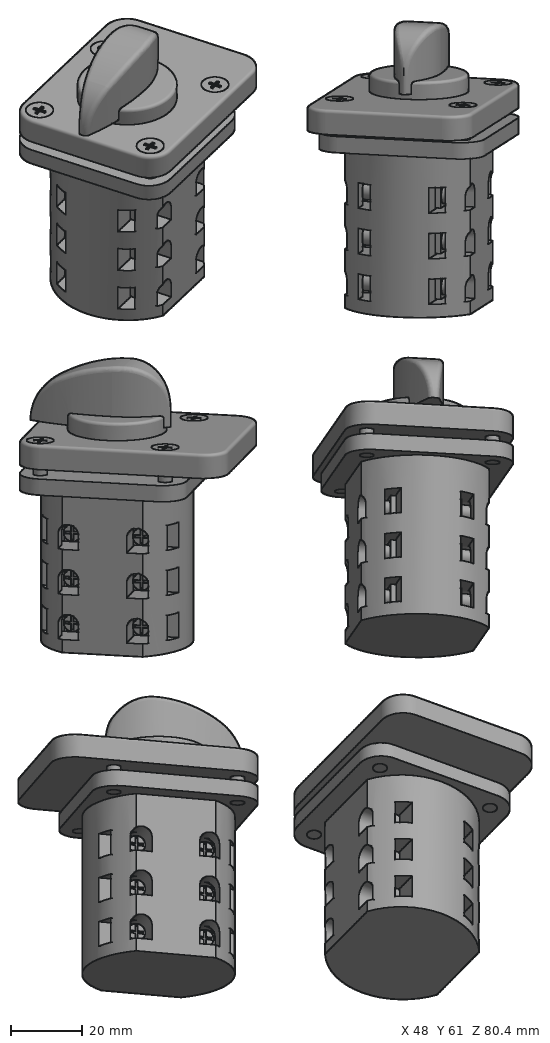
import math

import cadquery as cq

flange_width = 48.0
flange_corner = 7.0
flange_thickness = 4.7
panel_length = 60.0
panel_thickness = 7.0
panel_gap = 2.7
edge_round = 1.0

block_height = 46.6
block_half_width = 18.35
block_half_depth = 21.5
flat_half_length = 11.6

bushing_bottom_radius = 4.0
bushing_top_radius = 3.2

row_count = 3
row_pitch = 13.0
lowest_floor = 3.8
terminal_y = 10.0
window_width = 6.0
window_height = 7.2
slot_inner_x = 8.5
slot_outer_x = 12.7
clamp_thickness = 1.6
clamp_height = 6.5
clamp_screw_radius = 2.5
clamp_screw_length = 2.9
clamp_cross_length = 3.95

screw_offset = 18.0
screw_head_radius = 3.9
screw_shank_radius = 2.0
screw_cross_length = 3.7

cross_width = 0.7
cross_depth = 0.7

total_height = 80.4
disc_radius = 14.0
disc_height = 5.1
grip_lift = 1.5
grip_half_width = 6.3
grip_nose_y = -25.0
grip_nose_half_width = 1.2
grip_tail_y = 15.45
grip_tail_half_width = 0.6
grip_crown_y = 3.05
grip_shoulder_y = -17.0
grip_shoulder_drop = 5.0
grip_round = 1.45

flange_top = block_height + flange_thickness
panel_bottom = flange_top + panel_gap
panel_top = panel_bottom + panel_thickness
grip_bottom = panel_top + grip_lift
panel_center_y = (panel_length - flange_width) / 2
row_floors = [lowest_floor + row * row_pitch for row in range(row_count)]
corner_signs = [(sx, sy) for sx in (-1, 1) for sy in (-1, 1)]
screw_spots = [(sx * screw_offset, sy * screw_offset) for sx, sy in corner_signs]


def box_between(x0, x1, y0, y1, z0, z1):
    """Box spanning the given limits along X, Y and Z."""
    return cq.Workplane("XY").box(x1 - x0, y1 - y0, z1 - z0, centered=False).translate((x0, y0, z0))


def rounded_plate(length, center_y, bottom, thickness):
    """Flange-wide plate with rounded vertical corners."""
    plate = cq.Workplane("XY", origin=(0, center_y, bottom)).rect(flange_width, length).extrude(thickness)
    return plate.edges("|Z").fillet(flange_corner)


def cross_recess(workplane, arm_length):
    """Cutter for a cross recess, sunk below the workplane."""
    first_arm = workplane.rect(arm_length, cross_width).extrude(-cross_depth)
    second_arm = workplane.rect(cross_width, arm_length).extrude(-cross_depth)
    return first_arm.union(second_arm)


def terminal_cavity(floor):
    """Arched side window and front wire slot of the terminal at +X, -Y."""
    half_width = window_width / 2
    spring_line = floor + window_height - half_width
    window = (
        cq.Workplane("YZ", origin=(slot_inner_x, -terminal_y, 0))
        .moveTo(-half_width, floor)
        .lineTo(half_width, floor)
        .lineTo(half_width, spring_line)
        .threePointArc((0, floor + window_height), (-half_width, spring_line))
        .close()
        .extrude(block_half_width - slot_inner_x)
    )
    slot = box_between(
        slot_inner_x, slot_outer_x, -block_half_depth, -terminal_y, floor, floor + window_height
    )
    return window.union(slot)


def terminal_clamp(floor):
    """Clamp plate and screw head standing in the cavity of the terminal at +X, -Y."""
    center_z = floor + window_height / 2
    plate_face = slot_inner_x + clamp_thickness
    head_face = plate_face + clamp_screw_length
    plate = box_between(
        slot_inner_x, plate_face,
        -terminal_y - window_width / 2, -terminal_y + window_width / 2,
        center_z - clamp_height / 2, center_z + clamp_height / 2,
    )
    head = (
        cq.Workplane("YZ", origin=(plate_face, -terminal_y, center_z))
        .circle(clamp_screw_radius)
        .extrude(clamp_screw_length)
    )
    recess = cross_recess(
        cq.Workplane("YZ", origin=(head_face, -terminal_y, center_z)), clamp_cross_length
    )
    return plate.union(head).cut(recess)


def at_corner(shape, sign_x, sign_y):
    """Mirror a shape made for the +X, -Y corner to the corner with the given signs."""
    if sign_x < 0:
        shape = shape.mirror("YZ")
    if sign_y > 0:
        shape = shape.mirror("XZ")
    return shape


def make_housing():
    """Contact block, flange and bushing, with twelve screw terminals."""
    block = (
        cq.Workplane("XY")
        .moveTo(block_half_width, -flat_half_length)
        .lineTo(block_half_width, flat_half_length)
        .threePointArc((0, block_half_depth), (-block_half_width, flat_half_length))
        .lineTo(-block_half_width, -flat_half_length)
        .threePointArc((0, -block_half_depth), (block_half_width, -flat_half_length))
        .close()
        .extrude(block_height)
    )
    for floor in row_floors:
        cavity = terminal_cavity(floor)
        clamp = terminal_clamp(floor)
        for sign_x, sign_y in corner_signs:
            block = block.cut(at_corner(cavity, sign_x, sign_y))
            block = block.union(at_corner(clamp, sign_x, sign_y))

    flange = rounded_plate(flange_width, 0, block_height, flange_thickness)
    bushing = (
        cq.Workplane("XY", origin=(0, 0, flange_top))
        .circle(bushing_bottom_radius)
        .workplane(offset=panel_gap)
        .circle(bushing_top_radius)
        .loft()
    )
    housing = block.union(flange).union(bushing)
    for spot in screw_spots:
        housing = housing.cut(screw_envelope(spot))
    return housing


def screw_envelope(spot):
    """Countersunk screw without its recess, flush with the panel top and the flange underside."""
    sink_depth = screw_head_radius - screw_shank_radius
    return (
        cq.Workplane("XZ")
        .moveTo(0, block_height)
        .lineTo(screw_shank_radius, block_height)
        .lineTo(screw_shank_radius, panel_top - sink_depth)
        .lineTo(screw_head_radius, panel_top)
        .lineTo(0, panel_top)
        .close()
        .revolve(360, (0, 0), (0, 1))
        .translate((*spot, 0))
    )


def make_screw(spot):
    """Panel screw with a cross recess in its head."""
    recess = cross_recess(cq.Workplane("XY", origin=(*spot, panel_top)), screw_cross_length)
    return screw_envelope(spot).cut(recess)


def bowed_side_point(y, end_y, end_half_width):
    """Point at y on the side arc from the grip's widest place, parallel to Y there, to an end."""
    narrowing = grip_half_width - end_half_width
    radius = (narrowing**2 + end_y**2) / (2 * narrowing)
    return grip_half_width - radius + math.sqrt(radius**2 - y**2), y


def nose_side_point(y):
    """Point at y on the +X side of the grip, between its widest place and the nose."""
    return bowed_side_point(y, grip_nose_y, grip_nose_half_width)


def tail_side_point(y):
    """Point at y on the +X side of the grip, between its widest place and the tail."""
    return bowed_side_point(y, grip_tail_y, grip_tail_half_width)


def make_grip_side():
    """Grip with its +X side bowed and rounded into the top, and its -X side left wide and plain."""
    tail_radius = grip_tail_y - grip_crown_y
    profile = (
        cq.Workplane("YZ", origin=(-2 * grip_half_width, 0, 0))
        .moveTo(grip_tail_y, grip_bottom)
        .lineTo(grip_tail_y, total_height - tail_radius)
        .tangentArcPoint((grip_crown_y, total_height), relative=False)
        .tangentArcPoint((grip_shoulder_y, total_height - grip_shoulder_drop), relative=False)
        .tangentArcPoint((grip_nose_y, grip_bottom), relative=False)
        .close()
        .extrude(4 * grip_half_width)
    )
    plan = (
        cq.Workplane("XY", origin=(0, 0, grip_bottom))
        .moveTo(*nose_side_point(grip_nose_y))
        .threePointArc(nose_side_point(grip_nose_y / 2), (grip_half_width, 0))
        .threePointArc(tail_side_point(grip_tail_y / 2), tail_side_point(grip_tail_y))
        .lineTo(-2 * grip_half_width, grip_tail_y)
        .lineTo(-2 * grip_half_width, grip_nose_y)
        .close()
        .extrude(total_height - grip_bottom)
    )
    return profile.intersect(plan).edges("%BSPLINE").fillet(grip_round)


def make_grip():
    """Leaf-shaped grip where both bowed sides are rounded into the curved top."""
    side = make_grip_side()
    return side.intersect(side.mirror("YZ"))


def make_panel():
    """Front panel carrying the round disc and the grip, with countersunk screw holes."""
    panel = rounded_plate(panel_length, panel_center_y, panel_bottom, panel_thickness)
    panel = panel.faces(">Z").edges().fillet(edge_round)
    disc = cq.Workplane("XY", origin=(0, 0, panel_top)).circle(disc_radius).extrude(disc_height)
    disc = disc.faces(">Z").edges().fillet(edge_round)
    panel = panel.union(disc).union(make_grip())
    for spot in screw_spots:
        panel = panel.cut(screw_envelope(spot))
    return panel


housing = make_housing()
panel = make_panel()
screws = [make_screw(spot) for spot in screw_spots]
result = cq.Compound.makeCompound([housing.val(), panel.val(), *[screw.val() for screw in screws]])